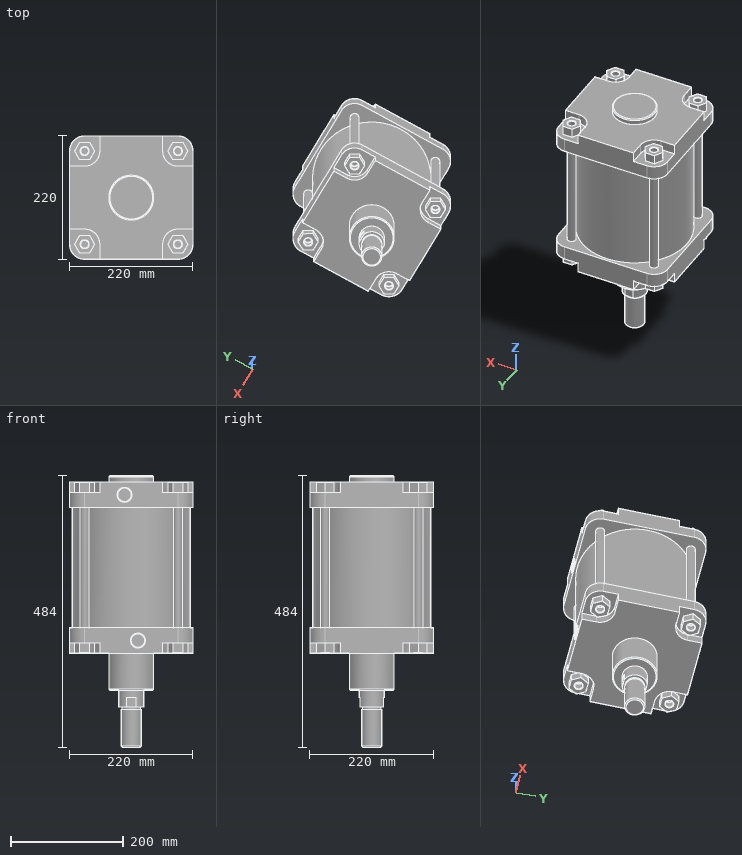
import cadquery as cq
import math


cap_side = 220.0
cap_height = 46.0
corner_radius = 27.0
recess_depth = 19.0
port_diameter = 24.1
port_chamfer = 1.2
port_depth = 28.0
port_offset = 12.0

collar_diameter = 80.0
neck_length = 65.5
boss_height = 11.0
collar_chamfer = 2.0

barrel_diameter = 210.6
barrel_length = 213.5

tie_offset = cap_side / 2 - corner_radius
tie_diameter = 16.0
nut_flats = 31.0
nut_corners = nut_flats / math.cos(math.pi / 6)
nut_height = 18.0
nut_bore = 14.0
nut_countersink = (tie_diameter - nut_bore) / 2

rod_diameter = 45.0
rod_flats = 42.0
rod_flats_length = 17.5
rod_length = 30.0
thread_diameter = 36.0
thread_length = 68.0
thread_chamfer = 2.5
undercut_diameter = 33.8
undercut_length = 4.0

shoulder_z = thread_length + undercut_length
neck_z = shoulder_z + rod_length
front_cap_z = neck_z + neck_length
barrel_z = front_cap_z + cap_height
rear_cap_z = barrel_z + barrel_length
rear_face_z = rear_cap_z + cap_height

tie_centers = [(sx * tie_offset, sy * tie_offset) for sx in (-1, 1) for sy in (-1, 1)]


def cylinder(diameter, base_z, length):
    return cq.Workplane("XY").workplane(offset=base_z).circle(diameter / 2).extrude(length)


def corner_recess(x, y, base_z):
    """Square-ended pocket rounded around a tie rod and open to both outer sides of its corner."""
    size = 2 * corner_radius
    return (
        cq.Workplane("XY", origin=(x, y, base_z))
        .rect(size, size)
        .extrude(recess_depth)
        .edges("|Z")
        .edges(cq.selectors.NearestToPointSelector((0, 0, base_z)))
        .fillet(corner_radius)
    )


def make_cap(base_z, recess_z, port_x):
    """Square cap with rounded corners, nut recesses, tie-rod holes and a blind, countersunk port in -Y."""
    cap = (
        cq.Workplane("XY", origin=(0, 0, base_z))
        .rect(cap_side, cap_side)
        .extrude(cap_height)
        .edges("|Z")
        .fillet(corner_radius)
    )
    for x, y in tie_centers:
        cap = cap.cut(corner_recess(x, y, recess_z))
    tie_holes = (
        cq.Workplane("XY", origin=(0, 0, base_z))
        .pushPoints(tie_centers)
        .circle(tie_diameter / 2)
        .extrude(cap_height)
    )
    port_plane = cq.Workplane("XZ", origin=(port_x, -cap_side / 2, base_z + cap_height / 2))
    port = port_plane.circle(port_diameter / 2).extrude(-port_depth)
    port_mouth = port_plane.circle(port_diameter / 2 + port_chamfer).extrude(-port_chamfer, taper=45)
    return cap.cut(tie_holes).cut(port).cut(port_mouth)


def make_front_cap():
    neck = cylinder(collar_diameter, neck_z, neck_length).faces("<Z").chamfer(collar_chamfer)
    return make_cap(front_cap_z, front_cap_z, port_offset).union(neck)


def make_rear_cap():
    boss = cylinder(collar_diameter, rear_face_z, boss_height).faces(">Z").chamfer(collar_chamfer)
    return make_cap(rear_cap_z, rear_face_z - recess_depth, -port_offset).union(boss)


def make_barrel():
    return cylinder(barrel_diameter, barrel_z, barrel_length)


def make_piston_rod():
    thread = cylinder(thread_diameter, 0, thread_length).faces("<Z").chamfer(thread_chamfer)
    undercut = cylinder(undercut_diameter, thread_length, undercut_length)
    flats = (
        cylinder(rod_diameter, shoulder_z, rod_flats_length)
        .intersect(
            cq.Workplane("XY", origin=(0, 0, shoulder_z))
            .rect(rod_diameter, rod_flats)
            .extrude(rod_flats_length)
        )
    )
    plain_z = shoulder_z + rod_flats_length
    plain = cylinder(rod_diameter, plain_z, neck_z - plain_z)
    return thread.union(undercut).union(flats).union(plain)


def make_nut():
    """Hexagon nut standing on Z = 0, bored through and countersunk at its top."""
    nut = cq.Workplane("XY").polygon(6, nut_corners).circle(nut_bore / 2).extrude(nut_height)
    return nut.faces(">Z").edges("%CIRCLE").chamfer(nut_countersink)


def make_tie_rod(x, y):
    """Tie rod reaching between the two recess floors, with a nut on each end."""
    lower_z = front_cap_z + recess_depth
    upper_z = rear_face_z - recess_depth
    upper_nut = make_nut().translate((0, 0, upper_z))
    lower_nut = make_nut().rotate((0, 0, 0), (1, 0, 0), 180).translate((0, 0, lower_z))
    rod = cylinder(tie_diameter, lower_z, upper_z - lower_z)
    return rod.union(upper_nut).union(lower_nut).translate((x, y, 0))


front_cap = make_front_cap()
rear_cap = make_rear_cap()
barrel = make_barrel()
piston_rod = make_piston_rod()
tie_rods = [make_tie_rod(x, y) for x, y in tie_centers]

result = cq.Compound.makeCompound(
    [
        front_cap.val(),
        rear_cap.val(),
        barrel.val(),
        piston_rod.val(),
        *[tie_rod.val() for tie_rod in tie_rods],
    ]
)